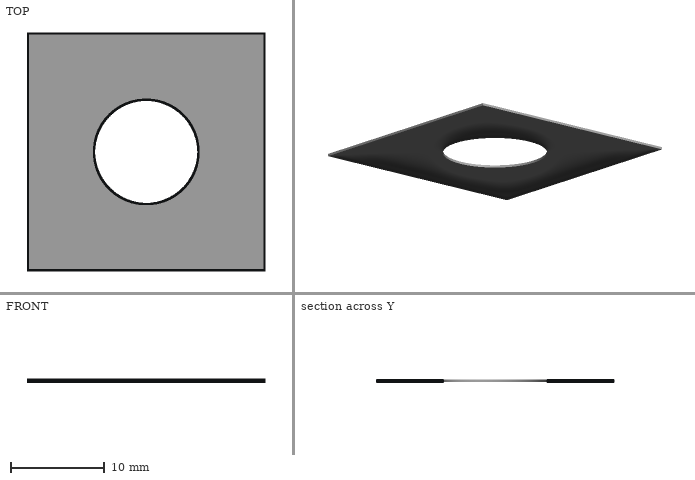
import cadquery as cq

side = 25.4
thickness = 0.25
hole_diameter = 11.18

result = (
    cq.Workplane("XY")
    .rect(side, side)
    .circle(hole_diameter / 2)
    .extrude(thickness)
)